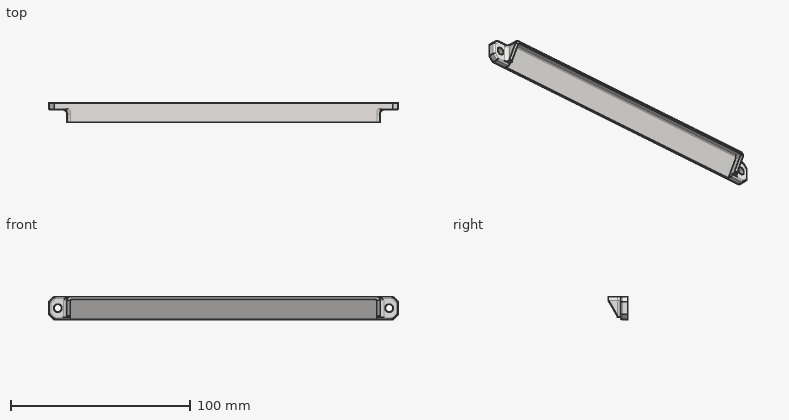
import cadquery as cq
import math

LENGTH = 195.0
DEPTH = 11.0
HEIGHT = 12.76

EAR_THICKNESS = 4.0
EAR_CORNER = 2.9
EAR_RIM_RADIUS = 1.0
HOLE_DIAMETER = 4.3
HOLE_SPACING = 185.0

HOOD_LENGTH = 175.0
ROUND_RADIUS = 2.0
LIP_HEIGHT = 1.9
SLOPE_ANGLE = 60.0
CHEEK_BOTTOM = -11.4

CHEEK_THICKNESS = 2.0
ROOF_THICKNESS = 1.3
BACK_BOTTOM_THICKNESS = 1.0
RECESS_FILLET = 1.0

SLOPE = math.tan(math.radians(SLOPE_ANGLE))
EAR_FRONT = -EAR_THICKNESS
HOOD_FRONT = -DEPTH
CHEEK_FOOT = EAR_FRONT - ROUND_RADIUS
RECESS_LENGTH = HOOD_LENGTH - 2 * CHEEK_THICKNESS


def extrude_along_length(profile, length):
    """Extrude a closed (Y, Z) outline symmetrically about the X = 0 plane."""
    return cq.Workplane("YZ").polyline(profile).close().extrude(length / 2, both=True)


def make_ear_bar():
    """Full-length bar with cut corners and a rounded front rim."""
    bar = cq.Workplane("XY").box(LENGTH, EAR_THICKNESS, HEIGHT).translate(
        (0, -EAR_THICKNESS / 2, -HEIGHT / 2)
    )
    bar = bar.edges("|Y").chamfer(EAR_CORNER)
    return bar.faces("<Y").edges().fillet(EAR_RIM_RADIUS)


def make_hood_plan():
    """Full-height block of the hood's plan outline, flared into the ears, with rounded upper ends."""
    side = HOOD_LENGTH / 2
    flare = side + ROUND_RADIUS
    plan = (
        cq.Workplane("XY")
        .moveTo(-flare, 0)
        .lineTo(-flare, EAR_FRONT)
        .radiusArc((-side, CHEEK_FOOT), ROUND_RADIUS)
        .lineTo(-side, HOOD_FRONT)
        .lineTo(side, HOOD_FRONT)
        .lineTo(side, CHEEK_FOOT)
        .radiusArc((flare, EAR_FRONT), ROUND_RADIUS)
        .lineTo(flare, 0)
        .close()
        .extrude(-HEIGHT)
    )
    return plan.faces(">Z").edges("%CIRCLE").fillet(ROUND_RADIUS)


def make_hood():
    """Solid hood with a sloping front."""
    foot_z = -LIP_HEIGHT - (DEPTH + CHEEK_FOOT) * SLOPE
    profile = [
        (0, 0),
        (HOOD_FRONT, 0),
        (HOOD_FRONT, -LIP_HEIGHT),
        (CHEEK_FOOT, foot_z),
        (CHEEK_FOOT, CHEEK_BOTTOM),
        (0, CHEEK_BOTTOM),
    ]
    return make_hood_plan().intersect(extrude_along_length(profile, LENGTH))


def make_recess():
    """Undercut between the cheeks, with a back wall parallel to the slope and a rounded ceiling."""
    recess_top = -ROOF_THICKNESS
    back = -BACK_BOTTOM_THICKNESS
    profile = [
        (HOOD_FRONT, recess_top),
        (back - (HEIGHT - ROOF_THICKNESS) / SLOPE, recess_top),
        (back, -HEIGHT),
        (HOOD_FRONT, -HEIGHT),
    ]
    recess = extrude_along_length(profile, RECESS_LENGTH)
    return recess.faces(">Z").edges("not <Y").fillet(RECESS_FILLET)


def make_screw_holes():
    """One through hole at the centre of each ear."""
    hole_x = HOLE_SPACING / 2
    hole_z = -HEIGHT / 2
    return (
        cq.Workplane("XZ")
        .pushPoints([(-hole_x, hole_z), (hole_x, hole_z)])
        .circle(HOLE_DIAMETER / 2)
        .extrude(EAR_THICKNESS)
    )


result = make_ear_bar().union(make_hood()).cut(make_recess()).cut(make_screw_holes())